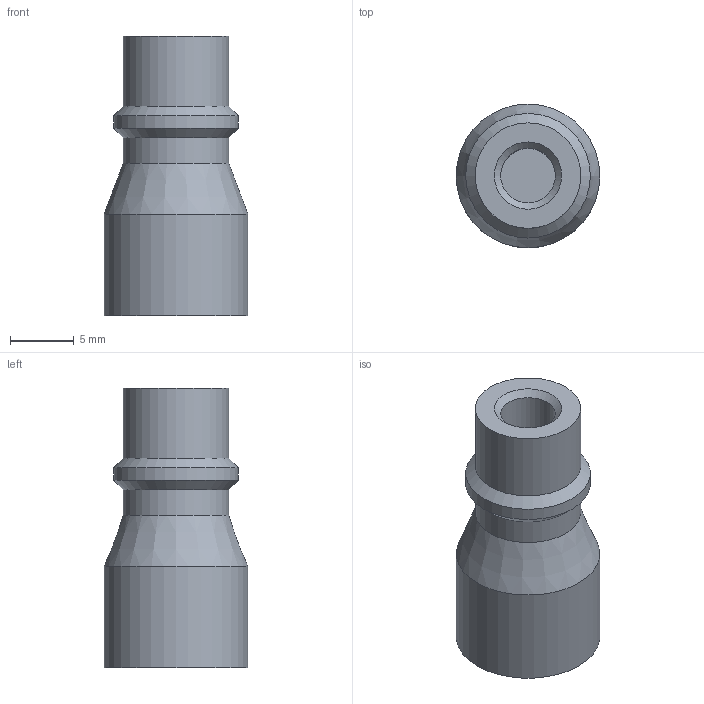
import cadquery as cq

body_top = 8.0
neck_bottom = 12.0
collar_bottom = 14.0
collar_top = 16.5
total_height = 22.0

body_diameter = 11.3
neck_diameter = 8.3
collar_diameter = 9.8
bore_diameter = 4.3
countersink_diameter = 5.3

bore_floor = body_top

body_radius = body_diameter / 2
neck_radius = neck_diameter / 2
collar_radius = collar_diameter / 2

collar_bevel = collar_radius - neck_radius
countersink_depth = (countersink_diameter - bore_diameter) / 2


def make_outer_body():
    """Turned outside: wide body, tapered shoulder, neck and bevelled collar."""
    profile = (
        cq.Workplane("XZ")
        .lineTo(body_radius, 0)
        .lineTo(body_radius, body_top)
        .lineTo(neck_radius, neck_bottom)
        .lineTo(neck_radius, collar_bottom)
        .lineTo(collar_radius, collar_bottom + collar_bevel)
        .lineTo(collar_radius, collar_top - collar_bevel)
        .lineTo(neck_radius, collar_top)
        .lineTo(neck_radius, total_height)
        .lineTo(0, total_height)
        .close()
    )
    return profile.revolve(360, (0, 0, 0), (0, 1, 0))


def make_bore():
    """Blind bore with a countersunk mouth, as a solid to cut away."""
    bore_radius = bore_diameter / 2
    profile = (
        cq.Workplane("XZ")
        .moveTo(0, bore_floor)
        .lineTo(bore_radius, bore_floor)
        .lineTo(bore_radius, total_height - countersink_depth)
        .lineTo(countersink_diameter / 2, total_height)
        .lineTo(0, total_height)
        .close()
    )
    return profile.revolve(360, (0, 0, 0), (0, 1, 0))


result = make_outer_body().cut(make_bore())